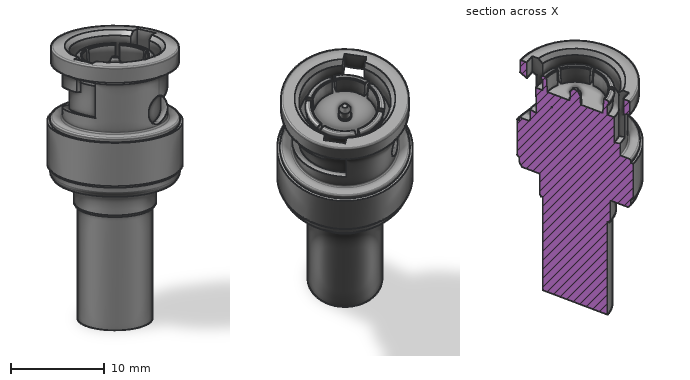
import cadquery as cq
import math

TOTAL_HEIGHT = 30.95
SOCKET_FLOOR_Z = 27.92

SLEEVE_RADIUS = 4.05
FERRULE_RADIUS = 4.45
FERRULE_BOTTOM_Z = 12.97
FERRULE_CHAMFER_WIDTH = 0.15
FERRULE_CHAMFER_HEIGHT = 0.28

GRIP_RADIUS = 7.3
GRIP_STEP = 0.3
SHOULDER_RADIUS = GRIP_RADIUS - GRIP_STEP
SHOULDER_CHAMFER_WIDTH = 0.35
SHOULDER_CHAMFER_HEIGHT = 0.53
SHOULDER_TOP_FILLET = 0.2
SHOULDER_CORNER_FILLET = 0.43
SHOULDER_BOTTOM_FILLET = 0.2
SHOULDER_BOTTOM_Z = 16.05
GRIP_BOTTOM_Z = 17.25
GRIP_TOP_Z = 22.45
SHOULDER_TOP_Z = 22.93

NECK_RADIUS = 5.65
NECK_FILLET = 0.2

FLANGE_RADIUS = 6.9
FLANGE_CONE_HEIGHT = 0.65
FLANGE_BOTTOM_Z = 28.5
FLANGE_FILLET = 0.2

BORE_RADIUS = 4.92
LEAD_IN = 0.5

TRACK_WIDTH = 2.38
ENTRY_REACH = 6.05
LOCK_RADIUS = 1.58
LOCK_Z = 24.8
RAMP_ANGLE = 14.2

RING_INNER_RADIUS = 3.45
RIM_INNER_RADIUS = 3.55
RING_OUTER_RADIUS = 4.1
RING_TOP_Z = 29.93
BULGE_CENTRE_RADIUS = 3.9
BULGE_SIZE = 0.37
RIM_BEVEL = 0.12
SLIT_COUNT = 6
SLIT_WIDTH = 0.43

PIN_BASE_RADIUS = 0.7
PIN_RADIUS = 0.65
PIN_STEP_Z = 28.15
PIN_CONE_Z = 29.12
PIN_TIP_RADIUS = 0.3
PIN_TIP_Z = 29.7


def revolve(points):
    """Turn a closed (radius, height) outline about the plug axis."""
    return turn(cq.Workplane("XZ").polyline(points).close())


def turn(outline):
    return outline.revolve(360, (0, 0, 0), (0, 1, 0))


def cylinder(radius, bottom, top):
    return cq.Workplane("XY").workplane(offset=bottom).circle(radius).extrude(top - bottom)


def shoulder():
    """Lower part of the coupling nut below the neck, with rounded corners."""
    body = revolve([
        (0, SHOULDER_BOTTOM_Z),
        (SHOULDER_RADIUS - SHOULDER_CHAMFER_WIDTH, SHOULDER_BOTTOM_Z),
        (SHOULDER_RADIUS, SHOULDER_BOTTOM_Z + SHOULDER_CHAMFER_HEIGHT),
        (SHOULDER_RADIUS, SHOULDER_TOP_Z),
        (0, SHOULDER_TOP_Z),
    ])
    body = body.edges("%CIRCLE").edges(">Z").fillet(SHOULDER_TOP_FILLET)
    body = body.edges("%CIRCLE").edges("<Z").fillet(SHOULDER_BOTTOM_FILLET)
    corner_z = SHOULDER_BOTTOM_Z + SHOULDER_CHAMFER_HEIGHT
    corner = cq.selectors.NearestToPointSelector((0, 0, corner_z))
    return body.edges("%CIRCLE").edges(corner).fillet(SHOULDER_CORNER_FILLET)


def grip():
    return revolve([
        (0, GRIP_BOTTOM_Z),
        (SHOULDER_RADIUS, GRIP_BOTTOM_Z),
        (GRIP_RADIUS, GRIP_BOTTOM_Z + GRIP_STEP),
        (GRIP_RADIUS, GRIP_TOP_Z),
        (0, GRIP_TOP_Z),
    ])


def neck_and_flange():
    foot_radius = NECK_RADIUS + NECK_FILLET
    foot_top_z = SHOULDER_TOP_Z + NECK_FILLET
    fillet_middle = NECK_FILLET * (1 - math.sqrt(0.5))
    outline = (
        cq.Workplane("XZ")
        .moveTo(0, SHOULDER_TOP_Z)
        .lineTo(foot_radius, SHOULDER_TOP_Z)
        .threePointArc(
            (NECK_RADIUS + fillet_middle, SHOULDER_TOP_Z + fillet_middle),
            (NECK_RADIUS, foot_top_z),
        )
        .lineTo(NECK_RADIUS, FLANGE_BOTTOM_Z)
        .lineTo(FLANGE_RADIUS, FLANGE_BOTTOM_Z + FLANGE_CONE_HEIGHT)
        .lineTo(FLANGE_RADIUS, TOTAL_HEIGHT)
        .lineTo(0, TOTAL_HEIGHT)
        .close()
    )
    return turn(outline).faces(">Z").edges().fillet(FLANGE_FILLET)


def cable_end():
    ferrule = cylinder(FERRULE_RADIUS, FERRULE_BOTTOM_Z, SHOULDER_BOTTOM_Z)
    ferrule = ferrule.faces("<Z").edges().chamfer(FERRULE_CHAMFER_HEIGHT, FERRULE_CHAMFER_WIDTH)
    return cylinder(SLEEVE_RADIUS, 0, FERRULE_BOTTOM_Z).union(ferrule)


def socket():
    return revolve([
        (0, SOCKET_FLOOR_Z),
        (BORE_RADIUS, SOCKET_FLOOR_Z),
        (BORE_RADIUS, TOTAL_HEIGHT - LEAD_IN),
        (BORE_RADIUS + LEAD_IN, TOTAL_HEIGHT),
        (0, TOTAL_HEIGHT),
    ])


def bayonet_track():
    """Track on the -X/-Y quarter: lock hole facing -X, ramp rising to the entry slot at -Y."""
    angle = math.radians(RAMP_ANGLE)
    slope = math.tan(angle)
    rise_per_width = 1 / math.cos(angle)
    half_width = TRACK_WIDTH / 2
    ramp_bottom_z = LOCK_Z - LOCK_RADIUS * rise_per_width
    ramp_top_z = ramp_bottom_z + TRACK_WIDTH * rise_per_width
    end_rise = ENTRY_REACH * slope

    ramp = (
        cq.Workplane("YZ").workplane(offset=half_width)
        .polyline([
            (-LOCK_RADIUS * math.sin(angle), LOCK_Z - LOCK_RADIUS * math.cos(angle)),
            (-ENTRY_REACH, ramp_bottom_z + end_rise),
            (-ENTRY_REACH, ramp_top_z + end_rise),
            (0, ramp_top_z),
        ])
        .close().extrude(-half_width - GRIP_RADIUS)
    )
    lock_hole = (
        cq.Workplane("YZ").center(0, LOCK_Z).circle(LOCK_RADIUS).extrude(-GRIP_RADIUS)
    )
    entry_bottom_z = ramp_bottom_z + NECK_RADIUS * slope
    entry = (
        cq.Workplane("XY").workplane(offset=entry_bottom_z)
        .center(0, -ENTRY_REACH / 2).rect(TRACK_WIDTH, ENTRY_REACH)
        .extrude(TOTAL_HEIGHT - entry_bottom_z)
    )
    core = cylinder(BORE_RADIUS, 0, SOCKET_FLOOR_Z)
    return ramp.union(lock_hole).union(entry).cut(core)


def contact_ring():
    bulge_centre_z = RING_TOP_Z - BULGE_SIZE
    bulge_drop = math.sqrt(BULGE_SIZE**2 - (RING_OUTER_RADIUS - BULGE_CENTRE_RADIUS)**2)
    outline = (
        cq.Workplane("XZ")
        .moveTo(RING_INNER_RADIUS, SOCKET_FLOOR_Z)
        .lineTo(RING_OUTER_RADIUS, SOCKET_FLOOR_Z)
        .lineTo(RING_OUTER_RADIUS, bulge_centre_z - bulge_drop)
        .threePointArc(
            (BULGE_CENTRE_RADIUS + BULGE_SIZE, bulge_centre_z),
            (BULGE_CENTRE_RADIUS, RING_TOP_Z),
        )
        .lineTo(RIM_INNER_RADIUS + RIM_BEVEL, RING_TOP_Z)
        .lineTo(RIM_INNER_RADIUS, RING_TOP_Z - RIM_BEVEL)
        .close()
    )
    ring = turn(outline)
    slit = (
        cq.Workplane("XY").workplane(offset=SOCKET_FLOOR_Z)
        .rect(2 * BORE_RADIUS, SLIT_WIDTH)
        .extrude(TOTAL_HEIGHT - SOCKET_FLOOR_Z)
    )
    for index in range(SLIT_COUNT // 2):
        ring = ring.cut(slit.rotate((0, 0, 0), (0, 0, 1), index * 360 / SLIT_COUNT))
    return ring


def centre_pin():
    return revolve([
        (0, SOCKET_FLOOR_Z),
        (PIN_BASE_RADIUS, SOCKET_FLOOR_Z),
        (PIN_BASE_RADIUS, PIN_STEP_Z),
        (PIN_RADIUS, PIN_STEP_Z),
        (PIN_RADIUS, PIN_CONE_Z),
        (PIN_TIP_RADIUS, PIN_TIP_Z),
        (0, PIN_TIP_Z),
    ])


track = bayonet_track()
opposite_track = track.rotate((0, 0, 0), (0, 0, 1), 180)
body = cable_end().union(shoulder()).union(grip()).union(neck_and_flange())
result = body.cut(socket()).cut(track).cut(opposite_track)
result = result.union(contact_ring()).union(centre_pin())